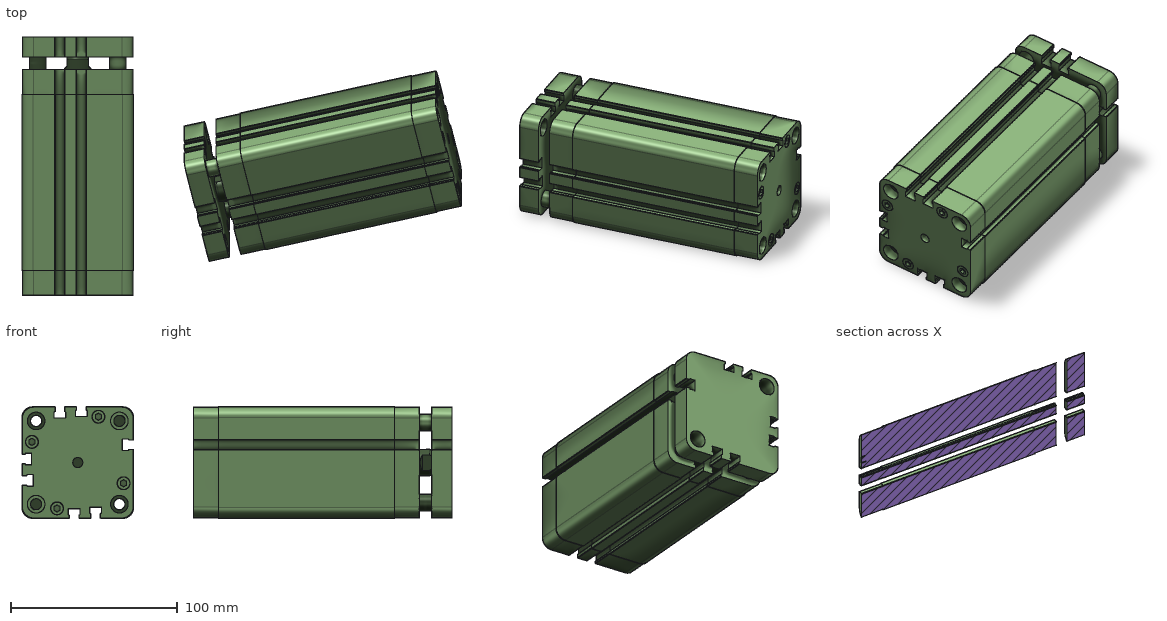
import cadquery as cq
import math

TOTAL_LENGTH = 155.0
CAP_LENGTH = 15.0
PLATE_THICKNESS = 12.2
PLATE_GAP = 7.3
REAR_Y = -TOTAL_LENGTH / 2
FRONT_Y = TOTAL_LENGTH / 2
PLATE_INNER_Y = FRONT_Y - PLATE_THICKNESS
FRONT_CAP_Y = PLATE_INNER_Y - PLATE_GAP
BARREL_REAR_Y = REAR_Y + CAP_LENGTH
BARREL_FRONT_Y = FRONT_CAP_Y - CAP_LENGTH

BARREL_WIDTH = 67.0
CAP_WIDTH = 66.3
CORNER_RADIUS = 6.5

DEEP_SLOT_OFFSET = -10.7
SHALLOW_SLOT_OFFSET = 2.2
DEEP_SLOT_FLOOR = 26.8
SHALLOW_SLOT_FLOOR = 27.7
SLOT_WIDTH = 6.8
SLOT_NECK_WIDTH = 5.6
SLOT_CAVITY_HEIGHT = 3.4
NECK_STEP_HEIGHT = 0.5
MOUTH_BEVEL = 0.3
CAP_SLOT_CLEARANCE = 0.08

MOUNT_OFFSET = 25.0
MOUNT_HOLE_DIAMETER = 6.7
MOUNT_BORE_DIAMETER = 10.5
MOUNT_BORE_DEPTH = 6.5

PORT_DIAMETER = 6.0
PORT_DEPTH = CAP_LENGTH

SCREW_SIDE_OFFSET = 27.5
SCREW_ALONG_OFFSET = 12.4
SCREW_BORE_DIAMETER = 7.8
SCREW_HEAD_DIAMETER = 7.5
SCREW_HEAD_SHIFT = 0.08
SCREW_SOCKET_WIDTH = 3.7
SCREW_SOCKET_DEPTH = 2.3
SCREW_GAP_DEPTH = 3.1

GUIDE_ROD_DIAMETER = 10.0
GUIDE_ROD_OFFSET = 24.0
PISTON_ROD_DIAMETER = 16.0
ROD_FLATS_WIDTH = 13.0
ROD_FLATS_LENGTH = 5.5
ROD_TIP_LENGTH = 1.2
ROD_TIP_DIAMETER = 15.2

OVERCUT = 1.5


def plane_at(y):
    """Sketch plane at height y, with X and Z as its axes and -Y as its normal."""
    return cq.Workplane("XZ", origin=(0, y, 0))


def cylinder(y_start, y_end, diameter, x=0.0, z=0.0):
    return plane_at(y_end).center(x, z).circle(diameter / 2).extrude(y_end - y_start)


def rounded_block(y_start, y_end, width):
    block = plane_at(y_end).rect(width, width).extrude(y_end - y_start)
    return block.edges("|Y").fillet(CORNER_RADIUS)


def slot_cutter(y_start, y_end, surface, offset, barrel_floor, clearance):
    """Slot in the +Z side, whose outer surface lies at the given height."""
    floor = barrel_floor - clearance
    shoulder = barrel_floor + SLOT_CAVITY_HEIGHT + clearance
    neck_start = shoulder + NECK_STEP_HEIGHT
    neck_end = surface - MOUTH_BEVEL
    half_slot = SLOT_WIDTH / 2 + clearance
    half_neck = SLOT_NECK_WIDTH / 2 + clearance
    half_mouth = half_neck + MOUTH_BEVEL
    right_side = [
        (half_slot, floor),
        (half_slot, shoulder),
        (half_neck, neck_start),
        (half_neck, neck_end),
        (half_mouth, surface),
        (half_mouth, surface + OVERCUT),
    ]
    left_side = [(-x, z) for x, z in reversed(right_side)]
    outline = [(offset + x, z) for x, z in right_side + left_side]
    return plane_at(y_end).polyline(outline).close().extrude(y_end - y_start)


def turned(shape, quarter_turns):
    """Turn a shape about the long axis, from the +Z side towards the -X side."""
    return shape.rotate((0, 0, 0), (0, 1, 0), -90 * quarter_turns)


def slotted_block(y_start, y_end, width, slot_clearance):
    block = rounded_block(y_start, y_end, width)
    surface = width / 2
    deep = slot_cutter(
        y_start, y_end, surface, DEEP_SLOT_OFFSET, DEEP_SLOT_FLOOR, slot_clearance
    )
    shallow = slot_cutter(
        y_start, y_end, surface, SHALLOW_SLOT_OFFSET, SHALLOW_SLOT_FLOOR, slot_clearance
    )
    for quarter_turns in range(4):
        block = block.cut(turned(deep, quarter_turns))
    for quarter_turns in range(3):
        block = block.cut(turned(shallow, quarter_turns))
    return block


def piston_rod():
    rod = cylinder(FRONT_CAP_Y, PLATE_INNER_Y - ROD_TIP_LENGTH, PISTON_ROD_DIAMETER)
    tip = (
        plane_at(PLATE_INNER_Y)
        .circle(ROD_TIP_DIAMETER / 2)
        .workplane(offset=ROD_TIP_LENGTH)
        .circle(PISTON_ROD_DIAMETER / 2)
        .loft()
    )
    rod = rod.union(tip)
    half_flats = ROD_FLATS_WIDTH / 2
    flats_end = PLATE_INNER_Y - ROD_FLATS_LENGTH
    outer = PISTON_ROD_DIAMETER / 2 + OVERCUT
    flat = (
        cq.Workplane("XY")
        .polyline([
            (half_flats, PLATE_INNER_Y),
            (half_flats, flats_end),
            (outer, flats_end - (outer - half_flats)),
            (outer, PLATE_INNER_Y),
        ])
        .close()
        .extrude(PISTON_ROD_DIAMETER / 2, both=True)
    )
    return rod.cut(flat).cut(flat.mirror("YZ"))


def screw_gap():
    """Clearance gap around the head of the screw next to the +Z side."""
    bore = cylinder(
        REAR_Y, REAR_Y + SCREW_GAP_DEPTH, SCREW_BORE_DIAMETER, SCREW_ALONG_OFFSET, SCREW_SIDE_OFFSET
    )
    head = cylinder(
        REAR_Y,
        REAR_Y + SCREW_GAP_DEPTH,
        SCREW_HEAD_DIAMETER,
        SCREW_ALONG_OFFSET,
        SCREW_SIDE_OFFSET + SCREW_HEAD_SHIFT,
    )
    return bore.cut(head)


def screw_socket(x, z):
    """Hexagon socket with two of its flats facing the X sides."""
    hexagon = (
        plane_at(REAR_Y + SCREW_SOCKET_DEPTH)
        .polygon(6, SCREW_SOCKET_WIDTH / math.cos(math.pi / 6))
        .extrude(SCREW_SOCKET_DEPTH)
    )
    return hexagon.rotate((0, 0, 0), (0, 1, 0), 30).translate((x, 0, z))


result = slotted_block(BARREL_REAR_Y, BARREL_FRONT_Y, BARREL_WIDTH, 0)
result = result.union(slotted_block(REAR_Y, BARREL_REAR_Y, CAP_WIDTH, CAP_SLOT_CLEARANCE))
result = result.union(slotted_block(BARREL_FRONT_Y, FRONT_CAP_Y, CAP_WIDTH, CAP_SLOT_CLEARANCE))
result = result.union(slotted_block(PLATE_INNER_Y, FRONT_Y, CAP_WIDTH, CAP_SLOT_CLEARANCE))

for side_x in (-1, 1):
    for side_z in (-1, 1):
        x = side_x * MOUNT_OFFSET
        z = side_z * MOUNT_OFFSET
        open_through = side_x != side_z
        bore_end = REAR_Y + MOUNT_BORE_DEPTH
        result = result.cut(cylinder(REAR_Y, bore_end, MOUNT_BORE_DIAMETER, x, z))
        result = result.cut(cylinder(REAR_Y, FRONT_CAP_Y, MOUNT_HOLE_DIAMETER, x, z))
        if open_through:
            result = result.cut(cylinder(PLATE_INNER_Y, FRONT_Y, MOUNT_BORE_DIAMETER, x, z))

result = result.cut(cylinder(REAR_Y, REAR_Y + PORT_DEPTH, PORT_DIAMETER))

for quarter_turns in range(4):
    result = result.cut(turned(screw_gap(), quarter_turns))
head_offset = SCREW_SIDE_OFFSET + SCREW_HEAD_SHIFT
for side in (-1, 1):
    result = result.cut(screw_socket(side * SCREW_ALONG_OFFSET, side * head_offset))
    result = result.cut(screw_socket(side * head_offset, -side * SCREW_ALONG_OFFSET))

result = result.union(piston_rod())
for side in (-1, 1):
    offset = side * GUIDE_ROD_OFFSET
    result = result.union(cylinder(FRONT_CAP_Y, PLATE_INNER_Y, GUIDE_ROD_DIAMETER, offset, offset))